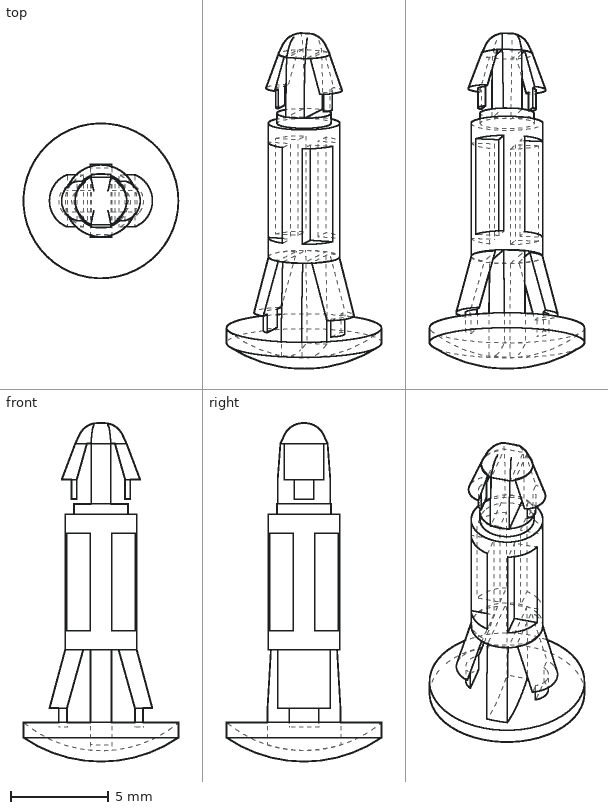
import cadquery as cq
import math

height = 17.45
dish_lower_rim = 1.24
dish_rim_z = 2.02
lower_barb_z = 2.75
lower_tab_bottom = 1.8
column_bottom = 5.75
column_top = 12.75
collar_top = 13.28
upper_tab_bottom = 13.52
upper_barb_z = 14.54
nose_bottom = 16.39
nose_shoulder = 16.91

dish_radius = 8.0 / 2
dish_floor = 0.58

column_radius = 3.7 / 2
collar_radius = 2.8 / 2
pocket_margin = 1.0
cross_thickness = 1.1

upper_rib_thickness = 1.01
lower_rib_half = 1.88
lower_rib_top_half = 1.71
upper_rib_half = 1.36

nose_base_radius = 1.33
nose_shoulder_radius = 1.08
nose_flat_radius = 0.15
trim_base_half = 1.22
trim_shoulder_half = 0.98
trim_flat_half = 0.03

lower_leg_width = 2.69
lower_leg_crown = 2.65
lower_leg_inner_top = 0.9
lower_leg_inner_bottom = 1.75
lower_tab_crown = 2.18
lower_tab_width = 1.54
upper_leg_width = 2.05
upper_leg_crown = 2.02
upper_leg_inner_top = 0.72
upper_leg_inner_bottom = 1.24
upper_tab_crown = 1.52
upper_tab_width = 1.01


def arc_from_axis(profile, rim_radius, rim_z, axis_z):
    """Draw the arc from the axis to a rim; its centre lies on the axis."""
    rise = rim_z - axis_z
    radius = (rim_radius**2 + rise**2) / (2 * rise)
    half_angle = math.asin(rim_radius / radius) / 2
    middle = (radius * math.sin(half_angle), axis_z + radius * (1 - math.cos(half_angle)))
    return profile.threePointArc(middle, (rim_radius, rim_z))


def revolve_z(profile):
    """Revolve a closed XZ profile about the Z axis."""
    return profile.revolve(360, (0, 0, 0), (0, 1, 0))


def cylinder(radius, bottom, top):
    return cq.Workplane("XY").workplane(offset=bottom).circle(radius).extrude(top - bottom)


def block(x_size, y_size, bottom, top):
    return cq.Workplane("XY").workplane(offset=bottom).rect(x_size, y_size).extrude(top - bottom)


def make_dish():
    """Curved disc with a concave top face and a convex underside."""
    profile = arc_from_axis(cq.Workplane("XZ"), dish_radius, dish_lower_rim, 0)
    underside = revolve_z(profile.lineTo(dish_radius, dish_rim_z).lineTo(0, dish_rim_z).close())
    return underside.cut(make_dish_hollow())


def make_dish_hollow():
    """Space inside the concave top face, up to the rim."""
    profile = cq.Workplane("XZ").moveTo(0, dish_floor)
    profile = arc_from_axis(profile, dish_radius, dish_rim_z, dish_floor)
    return revolve_z(profile.lineTo(0, dish_rim_z).close())


def make_column():
    """Cylinder whose middle is a cross section, with a collar on top."""
    column = cylinder(column_radius, column_bottom, column_top)
    pocket_bottom = column_bottom + pocket_margin
    pocket_top = column_top - pocket_margin
    pocket_offset = cross_thickness / 2 + column_radius / 2
    pocket = block(column_radius, column_radius, pocket_bottom, pocket_top)
    for x_side in (-1, 1):
        for y_side in (-1, 1):
            column = column.cut(pocket.translate((x_side * pocket_offset, y_side * pocket_offset, 0)))
    return column.union(cylinder(collar_radius, column_top, collar_top))


def make_rib(thickness, bottom, taper_z, top, bottom_half, top_half):
    """Flat rib in the YZ plane, straight at first and then tapering."""
    outline = [
        (-bottom_half, bottom),
        (bottom_half, bottom),
        (bottom_half, taper_z),
        (top_half, top),
        (-top_half, top),
        (-bottom_half, taper_z),
    ]
    return cq.Workplane("YZ").polyline(outline).close().extrude(thickness / 2, both=True)


def segment_outline(plane, width, inner, crown):
    """Circular segment: flat chord at the inner X, arc bulging to the crown X."""
    chord = plane.moveTo(inner, -width / 2)
    return chord.threePointArc((crown, 0), (inner, width / 2)).close()


def make_leg_pair(width, bottom, top, bottom_crown, top_crown, inner_bottom, inner_top):
    """Two flared legs, each lofted between a low and a high segment."""
    low = segment_outline(cq.Workplane("XY").workplane(offset=bottom), width, inner_bottom, bottom_crown)
    high = segment_outline(low.workplane(offset=top - bottom), width, inner_top, top_crown)
    leg = high.loft(ruled=True)
    return leg.union(leg.mirror("YZ"))


def make_tab_pair(width, bottom, top, crown, inner):
    """Two upright tabs: round outside, flat inside."""
    plane = cq.Workplane("XY").workplane(offset=bottom)
    tab = segment_outline(plane, width, inner, crown).extrude(top - bottom)
    return tab.union(tab.mirror("YZ"))


def nose_side(profile, base, shoulder, flat):
    """Draw a nose edge: sloping shoulder, then an arc level at the top."""
    drop = height - nose_shoulder
    run = shoulder - flat
    radius = (run**2 + drop**2) / (2 * drop)
    half_angle = math.asin(run / radius) / 2
    middle = (flat + radius * math.sin(half_angle), height - radius * (1 - math.cos(half_angle)))
    profile = profile.lineTo(base, nose_bottom).lineTo(shoulder, nose_shoulder)
    return profile.threePointArc(middle, (flat, height)).lineTo(0, height).close()


def make_nose():
    """Domed tip, flattened across Y by the narrower trim profile."""
    start = (0, nose_bottom)
    dome_profile = cq.Workplane("XZ").moveTo(*start)
    dome = revolve_z(nose_side(dome_profile, nose_base_radius, nose_shoulder_radius, nose_flat_radius))
    trim_profile = cq.Workplane("YZ").moveTo(*start)
    trim = nose_side(trim_profile, trim_base_half, trim_shoulder_half, trim_flat_half)
    trim = trim.extrude(nose_base_radius, both=True)
    return dome.intersect(trim.union(trim.mirror("XZ")))


def make_lower_clip():
    """Rib standing on the dish, with two legs flaring down from the column."""
    rib = make_rib(
        cross_thickness, dish_rim_z, lower_barb_z, column_bottom, lower_rib_half, lower_rib_top_half
    )
    foot = block(cross_thickness, 2 * lower_rib_half, dish_floor, dish_rim_z)
    legs = make_leg_pair(
        lower_leg_width, lower_barb_z, column_bottom, lower_leg_crown, column_radius,
        lower_leg_inner_bottom, lower_leg_inner_top,
    )
    tabs = make_tab_pair(
        lower_tab_width, lower_tab_bottom, lower_barb_z, lower_tab_crown, lower_leg_inner_bottom
    )
    return rib.union(foot.intersect(make_dish_hollow())).union(legs).union(tabs)


def make_upper_clip():
    """Rib on the collar that carries the nose and its two flared legs."""
    rib = make_rib(
        upper_rib_thickness, collar_top, upper_barb_z, nose_bottom, upper_rib_half, trim_base_half
    )
    legs = make_leg_pair(
        upper_leg_width, upper_barb_z, nose_bottom, upper_leg_crown, nose_base_radius,
        upper_leg_inner_bottom, upper_leg_inner_top,
    )
    tabs = make_tab_pair(
        upper_tab_width, upper_tab_bottom, upper_barb_z, upper_tab_crown, upper_leg_inner_bottom
    )
    return rib.union(legs).union(tabs).union(make_nose())


def make_post():
    """Column joined to the clip at each end."""
    return make_column().union(make_lower_clip()).union(make_upper_clip())


dish = make_dish()
post = make_post()
result = cq.Compound.makeCompound([dish.solids().val(), post.solids().val()])